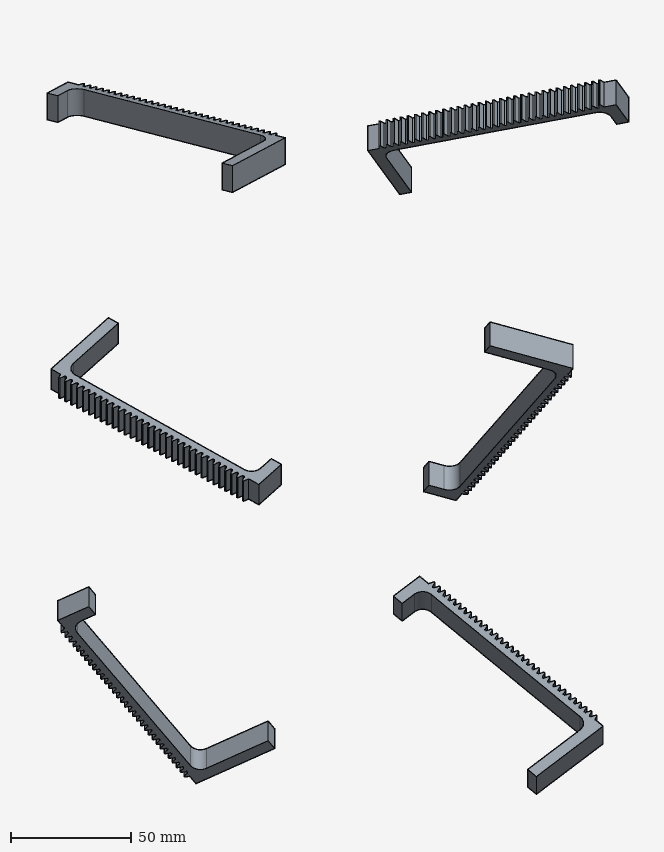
import cadquery as cq

length = 110.0
depth = 40.5
height = 12.0

short_arm_width = 5.4
long_arm_width = 5.3
short_arm_length = 15.2
bar_thickness = 3.2
corner_radius = 5.0
long_arm_rise = 0.3

tooth_count = 32
tooth_height = 2.3
tip_width = 0.7
root_width = 2.3
tooth_row_length = 97.5
pitch = tooth_row_length / (tooth_count - 1)

first_tooth_x = short_arm_width + root_width / 2
long_arm_x = length - long_arm_width

root_y = depth - tooth_height
inner_y = root_y - bar_thickness
short_arm_end_y = root_y - short_arm_length
long_arm_back_y = root_y + long_arm_rise


def make_frame():
    """Bar with both arms, rounded in the two inside corners."""
    outline = [
        (0, short_arm_end_y),
        (short_arm_width, short_arm_end_y),
        (short_arm_width, inner_y),
        (long_arm_x, inner_y),
        (long_arm_x, 0),
        (length, 0),
        (length, long_arm_back_y),
        (long_arm_x, long_arm_back_y),
        (long_arm_x, root_y),
        (0, root_y),
    ]
    frame = cq.Workplane("XY").polyline(outline).close().extrude(height)
    mid_height = height / 2
    for corner_x in (short_arm_width, long_arm_x):
        corner = cq.selectors.NearestToPointSelector((corner_x, inner_y, mid_height))
        frame = frame.edges("|Z").edges(corner).fillet(corner_radius)
    return frame


def make_teeth():
    """Row of straight-sided teeth on a base strip as thick as the bar."""
    row = []
    for index in range(tooth_count):
        center = first_tooth_x + index * pitch
        row += [
            (center - root_width / 2, root_y),
            (center - tip_width / 2, depth),
            (center + tip_width / 2, depth),
            (center + root_width / 2, root_y),
        ]
    first_x = row[0][0]
    last_x = row[-1][0]
    base = [(last_x, inner_y), (first_x, inner_y)]
    return cq.Workplane("XY").polyline(row + base).close().extrude(height)


result = make_frame().union(make_teeth())